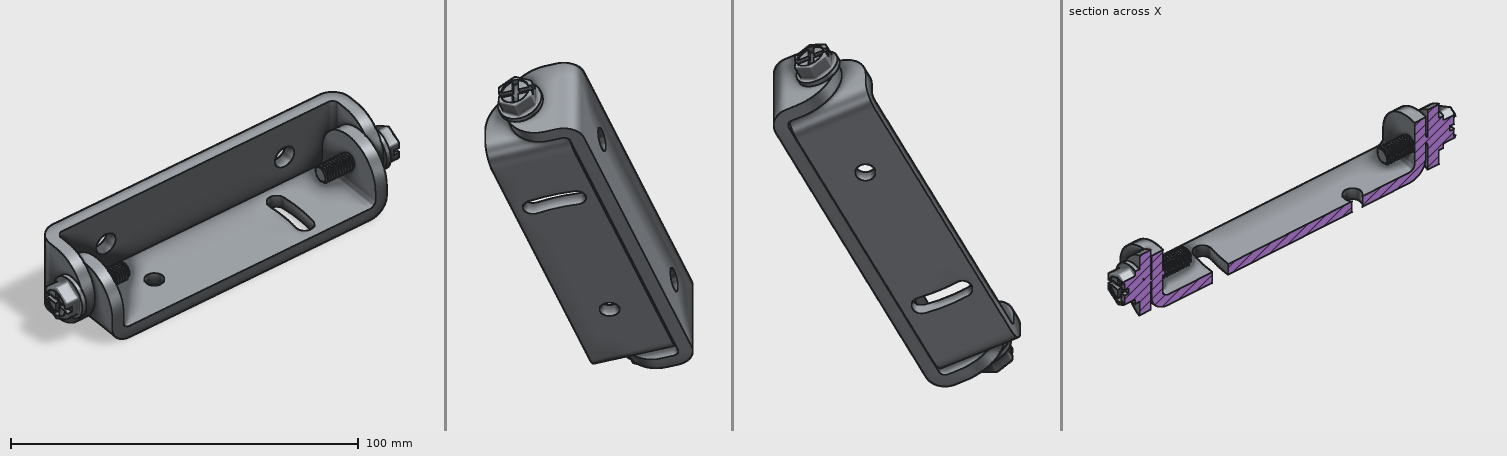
import math

import cadquery as cq

strip_width = 25.0
thickness = 4.2
inner_bend_radius = 2.0
outer_bend_radius = inner_bend_radius + thickness
flange_length = 22.2

outer_length = 109.29
outer_lift = 0.48
wall_hole_diameter = 7.0
wall_hole_spacing = 65.0

inner_length = 100.0
inner_start_x = 4.48
inner_shift_y = 0.2
inner_center_x = inner_start_x + strip_width / 2
pivot_hole_diameter = 5.8
slot_width = pivot_hole_diameter
slot_radius = 50.0
slot_sweep_angle = 15.0
pivot_hole_y = inner_shift_y - slot_radius / 2

bolt_x = inner_center_x
bolt_z = outer_lift + strip_width / 2
bolt_seat = outer_length / 2
washer_diameter = 13.2
washer_thickness = 1.5
head_across_flats = 10.0
head_height = 4.5
head_corner_radius = 0.7
head_edge_radius = 0.5
head_base_radius = 0.5
recess_width = 1.75
recess_depth = 2.0
dish_diameter = 8.4
dish_depth = 0.55
bolt_length = 19.0
thread_diameter = 5.7
core_diameter = 4.5
thread_pitch = 1.0
thread_root_width = 0.85
thread_crest_width = 0.12
thread_root_overlap = 0.1
tip_chamfer = 0.5


def make_bracket(length):
    """U bracket: base on Z = 0 centred on the origin, flanges rising at both Y ends."""
    bent_strip = (
        cq.Workplane("YZ")
        .rect(length, 2 * flange_length)
        .extrude(strip_width / 2, both=True)
        .edges("|X")
        .fillet(outer_bend_radius)
        .cut(
            cq.Workplane("YZ")
            .rect(length - 2 * thickness, 2 * (flange_length - thickness))
            .extrude(strip_width / 2, both=True)
            .edges("|X")
            .fillet(inner_bend_radius)
        )
        .translate((0, 0, flange_length))
    )
    half_width = strip_width / 2
    round_center = flange_length - half_width
    flange_outline = (
        cq.Workplane("XZ")
        .moveTo(-half_width, 0)
        .lineTo(half_width, 0)
        .lineTo(half_width, round_center)
        .threePointArc((0, flange_length), (-half_width, round_center))
        .close()
        .extrude(length / 2, both=True)
    )
    return bent_strip.intersect(flange_outline)


def make_outer_bracket():
    """Upright bracket with two round holes through its base."""
    holes = (
        cq.Workplane("XY")
        .pushPoints([(0, -wall_hole_spacing / 2), (0, wall_hole_spacing / 2)])
        .circle(wall_hole_diameter / 2)
        .extrude(thickness)
    )
    flat = make_bracket(outer_length).cut(holes)
    upright = flat.rotate((0, 0, 0), (0, 1, 0), 90)
    return upright.translate((0, 0, bolt_z))


def make_pivot_slot():
    """Arched slot whose centre line is an arc about the pivot hole."""
    half_angle = math.radians(slot_sweep_angle / 2)
    near_radius = slot_radius - slot_width / 2
    far_radius = slot_radius + slot_width / 2

    def polar(radius, angle):
        return (radius * math.sin(angle), radius * math.cos(angle))

    slot = (
        cq.Workplane("XY")
        .moveTo(*polar(near_radius, -half_angle))
        .threePointArc(polar(near_radius, 0), polar(near_radius, half_angle))
        .lineTo(*polar(far_radius, half_angle))
        .threePointArc(polar(far_radius, 0), polar(far_radius, -half_angle))
        .close()
        .extrude(thickness)
    )
    slot_ends = (
        cq.Workplane("XY")
        .pushPoints([polar(slot_radius, -half_angle), polar(slot_radius, half_angle)])
        .circle(slot_width / 2)
        .extrude(thickness)
    )
    return slot.union(slot_ends)


def make_inner_bracket():
    """Lying bracket with a pivot hole and an arched slot in its base."""
    pivot_hole = cq.Workplane("XY").circle(pivot_hole_diameter / 2).extrude(thickness)
    openings = pivot_hole.union(make_pivot_slot())
    openings = openings.translate((inner_center_x, pivot_hole_y, 0))
    bracket = make_bracket(inner_length).translate((inner_center_x, inner_shift_y, 0))
    return bracket.cut(openings)


def make_driver_recess():
    """Round dish, slot right across the head and a cross slot ending at the dish wall."""
    head_top = cq.Workplane("XY", origin=(0, 0, washer_thickness + head_height))
    dish = head_top.circle(dish_diameter / 2).extrude(-dish_depth)
    dish_reach = head_top.circle(dish_diameter / 2).extrude(-recess_depth)
    through_slot = head_top.rect(washer_diameter, recess_width).extrude(-recess_depth)
    cross_slot = head_top.rect(recess_width, dish_diameter).extrude(-recess_depth)
    return dish.union(through_slot).union(cross_slot.intersect(dish_reach))


def make_head():
    """Hexagon head with a dished, cross-slotted top, standing on its round washer at Z = 0."""
    corner_diameter = head_across_flats / math.cos(math.pi / 6)
    washer = cq.Workplane("XY").circle(washer_diameter / 2).extrude(washer_thickness)
    hexagon = (
        cq.Workplane("XY", origin=(0, 0, washer_thickness))
        .polygon(6, corner_diameter)
        .extrude(head_height)
        .rotate((0, 0, 0), (0, 0, 1), 90)
        .edges("|Z")
        .fillet(head_corner_radius)
        .faces(">Z")
        .fillet(head_edge_radius)
    )
    head = washer.union(hexagon)
    base_edges = cq.selectors.BoxSelector(
        (-corner_diameter / 2, -corner_diameter / 2, washer_thickness - head_base_radius / 2),
        (corner_diameter / 2, corner_diameter / 2, washer_thickness + head_base_radius / 2),
    )
    head = head.edges(base_edges).edges("#Z").fillet(head_base_radius)
    return head.cut(make_driver_recess())


def make_shank():
    """Shank running from Z = 0 down to its chamfered tip, with a helical thread."""
    thread_start = thickness / 2
    core = cq.Workplane("XY").circle(core_diameter / 2).extrude(-bolt_length)
    root_radius = core_diameter / 2 - thread_root_overlap
    crest_radius = thread_diameter / 2
    helix = cq.Wire.makeHelix(thread_pitch, bolt_length - thread_start, root_radius)
    ridge = (
        cq.Workplane("XZ")
        .moveTo(root_radius, -thread_root_width / 2)
        .lineTo(crest_radius, -thread_crest_width / 2)
        .lineTo(crest_radius, thread_crest_width / 2)
        .lineTo(root_radius, thread_root_width / 2)
        .close()
        .sweep(cq.Workplane(obj=helix), isFrenet=True)
        .translate((0, 0, -bolt_length))
    )
    envelope = (
        cq.Workplane("XY")
        .circle(thread_diameter / 2 + thread_root_overlap)
        .extrude(-bolt_length)
        .faces("<Z")
        .chamfer(tip_chamfer)
    )
    return core.union(ridge.intersect(envelope))


def make_bolt():
    """Complete bolt seated on the -Y flange, head towards -Y."""
    bolt = make_head().union(make_shank())
    return bolt.rotate((0, 0, 0), (1, 0, 0), 90).translate((bolt_x, -bolt_seat, bolt_z))


bolt_front = make_bolt()
bolt_back = bolt_front.rotate((bolt_x, 0, 0), (bolt_x, 0, 1), 180)
result = make_outer_bracket().union(make_inner_bracket()).union(bolt_front).union(bolt_back)